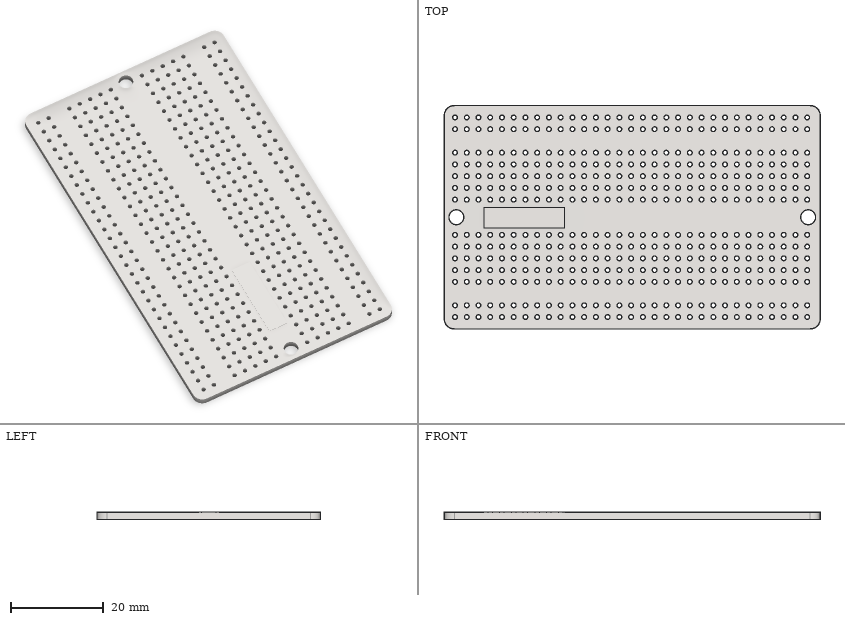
import cadquery as cq

BOARD_LENGTH = 81.3
BOARD_WIDTH = 48.3
BOARD_THICKNESS = 1.6
CORNER_RADIUS = 2.2

COLUMN_COUNT = 31
GRID_LENGTH = 76.1
GRID_CENTER_X = -0.25
HOLE_DIAMETER = 1.0
PITCH = GRID_LENGTH / (COLUMN_COUNT - 1)
ROW_STEPS = [1.5, 2.5, 3.5, 4.5, 5.5, 7.5, 8.5]

MOUNT_DIAMETER = 3.2
MOUNT_SPACING = 76.0

LABEL_LENGTH = 17.4
LABEL_WIDTH = 4.4
LABEL_THICKNESS = 0.1
LABEL_CENTER_X = -23.3
LABEL_CENTER_Y = -0.1


def component_hole_centers():
    """Centres of the component holes, mirrored about the centre line."""
    first_x = GRID_CENTER_X - GRID_LENGTH / 2
    return [
        (first_x + column * PITCH, side * step * PITCH)
        for column in range(COLUMN_COUNT)
        for step in ROW_STEPS
        for side in (-1, 1)
    ]


def make_board():
    """Rounded plate with the component holes and the two mounting holes."""
    mount_centers = [(side * MOUNT_SPACING / 2, 0) for side in (-1, 1)]
    outline = cq.Sketch().rect(BOARD_LENGTH, BOARD_WIDTH).vertices().fillet(CORNER_RADIUS).reset()
    component_holes = cq.Sketch().push(component_hole_centers()).circle(HOLE_DIAMETER / 2)
    mount_holes = cq.Sketch().push(mount_centers).circle(MOUNT_DIAMETER / 2)
    profile = outline.face(component_holes, mode="s").face(mount_holes, mode="s")
    return cq.Workplane("XY").placeSketch(profile).extrude(BOARD_THICKNESS)


def make_label():
    """Flat rectangle resting on the top face of the board."""
    return (
        cq.Workplane("XY", origin=(LABEL_CENTER_X, LABEL_CENTER_Y, BOARD_THICKNESS))
        .rect(LABEL_LENGTH, LABEL_WIDTH)
        .extrude(LABEL_THICKNESS)
    )


board = make_board()
label = make_label()
result = cq.Compound.makeCompound([board.val(), label.val()])